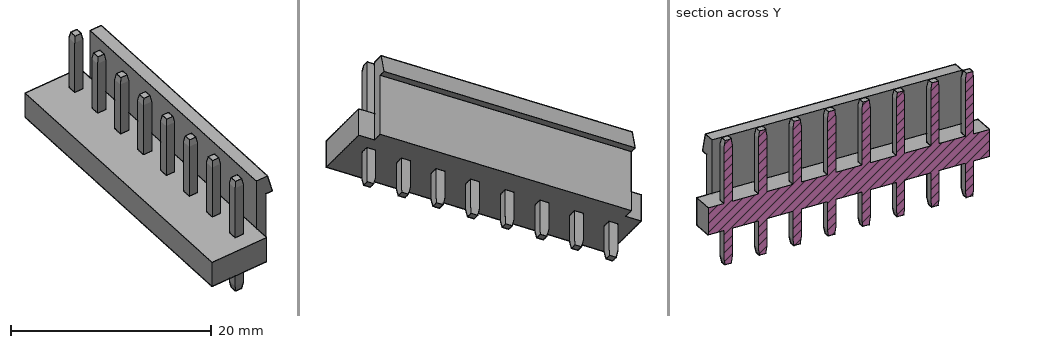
import cadquery as cq

PIN_COUNT = 8
PIN_PITCH = 3.96
PIN_WIDTH = 1.02
PIN_TIP_WIDTH = 0.76
PIN_TIP_LENGTH = 0.78
PIN_ABOVE_BASE = 7.2
PIN_BELOW_BASE = 3.97

BASE_END_MARGIN = 2.3
BASE_DEPTH = 6.7
BASE_HEIGHT = 3.16
PIN_TO_BASE_BACK = 2.08

WALL_THICKNESS = 1.19
WALL_ABOVE_BASE = 6.14
HOOK_OVERHANG = 0.8
HOOK_TOP_OVERHANG = 0.2
HOOK_HEIGHT = 2.25

row_length = (PIN_COUNT - 1) * PIN_PITCH
base_length = row_length + 2 * BASE_END_MARGIN
wall_length = row_length + PIN_WIDTH
base_back = PIN_TO_BASE_BACK
base_front = base_back - BASE_DEPTH


def make_base():
    """Rectangular block that carries the pins."""
    return cq.Workplane("XY").box(
        base_length, BASE_DEPTH, BASE_HEIGHT, centered=(True, False, False)
    ).translate((0, base_front, 0))


def make_locking_wall():
    """Upright wall behind the base with a sloped latching hook along its top."""
    wall_back = base_back + WALL_THICKNESS
    wall_top = BASE_HEIGHT + WALL_ABOVE_BASE
    hook_bottom = wall_top - HOOK_HEIGHT
    profile = [
        (base_back, 0),
        (wall_back, 0),
        (wall_back, hook_bottom),
        (wall_back + HOOK_OVERHANG, hook_bottom),
        (wall_back + HOOK_TOP_OVERHANG, wall_top),
        (base_back, wall_top),
    ]
    return cq.Workplane("YZ").polyline(profile).close().extrude(wall_length / 2, both=True)


def make_pin_tip(start_z, direction):
    """Tapered square tip starting at start_z and pointing up (1) or down (-1)."""
    return (
        cq.Workplane("XY", origin=(0, 0, start_z))
        .rect(PIN_WIDTH, PIN_WIDTH)
        .workplane(offset=direction * PIN_TIP_LENGTH)
        .rect(PIN_TIP_WIDTH, PIN_TIP_WIDTH)
        .loft(ruled=True)
    )


def make_pin():
    """Square pin through the base, tapered at both ends."""
    shank_bottom = PIN_TIP_LENGTH - PIN_BELOW_BASE
    shank_top = BASE_HEIGHT + PIN_ABOVE_BASE - PIN_TIP_LENGTH
    shank = (
        cq.Workplane("XY", origin=(0, 0, shank_bottom))
        .rect(PIN_WIDTH, PIN_WIDTH)
        .extrude(shank_top - shank_bottom)
    )
    return shank.union(make_pin_tip(shank_top, 1)).union(make_pin_tip(shank_bottom, -1))


result = make_base().union(make_locking_wall())
pin = make_pin()
for index in range(PIN_COUNT):
    pin_x = index * PIN_PITCH - row_length / 2
    result = result.union(pin.translate((pin_x, 0, 0)))